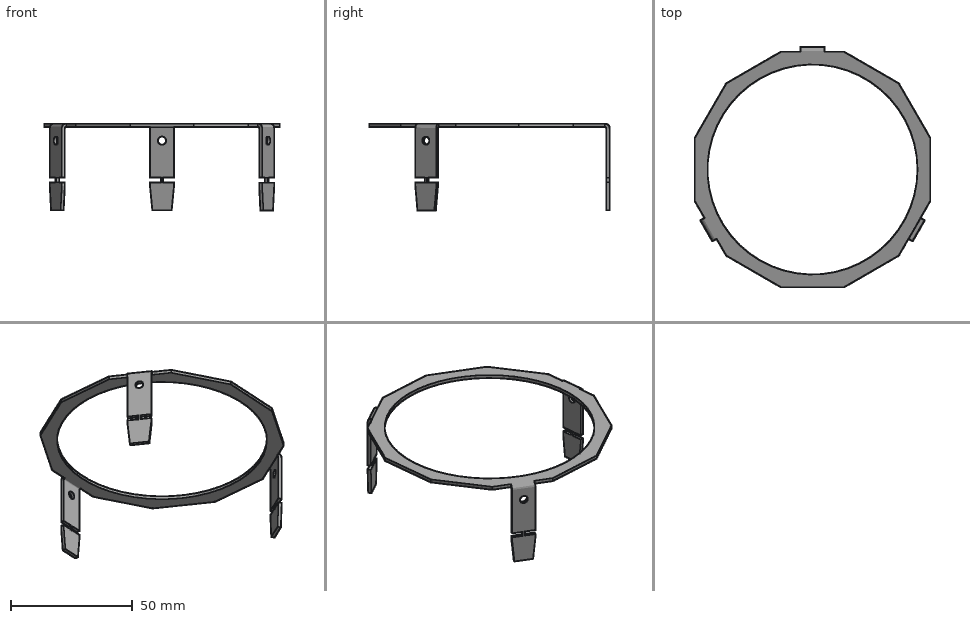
import cadquery as cq
import math

ring_sides = 12
ring_across_flats = 96.6
ring_bore_diameter = 86.0
sheet_thickness = 1.5

leg_width = 10.0
bend_outer_radius = 2.0
leg_hole_diameter = 3.3
leg_hole_depth = 7.0

neck_width = 1.0
neck_top_depth = 22.2
tab_top_depth = 24.1
taper_start_depth = 25.6
tab_bottom_depth = 35.6
tab_bottom_width = 8.0

separate_tab_drop = 0.1

fixed_leg_angles = [0, 120]
separate_leg_angle = -120

flat_distance = ring_across_flats / 2
leg_outer_y = flat_distance + bend_outer_radius
leg_inner_y = leg_outer_y - sheet_thickness
bend_inner_radius = bend_outer_radius - sheet_thickness


def make_ring():
    corner_diameter = ring_across_flats / math.cos(math.pi / ring_sides)
    half_side_angle = 180 / ring_sides
    outline = (
        cq.Workplane("XY")
        .polygon(ring_sides, corner_diameter)
        .extrude(-sheet_thickness)
        .rotate((0, 0, 0), (0, 0, 1), half_side_angle)
    )
    bore = cq.Workplane("XY").circle(ring_bore_diameter / 2).extrude(-sheet_thickness)
    return outline.cut(bore)


def make_bent_strip(bottom_depth):
    """Full-width strip with its quarter-round bend, starting at the +Y flat of the ring."""
    return (
        cq.Workplane("YZ")
        .moveTo(flat_distance, 0)
        .radiusArc((leg_outer_y, -bend_outer_radius), bend_outer_radius)
        .lineTo(leg_outer_y, -bottom_depth)
        .lineTo(leg_inner_y, -bottom_depth)
        .lineTo(leg_inner_y, -bend_outer_radius)
        .radiusArc((flat_distance, -sheet_thickness), -bend_inner_radius)
        .close()
        .extrude(leg_width / 2, both=True)
    )


def make_leg_outline(tab_drop):
    """Block with the leg's face outline: wide strip, thin neck and tapered tab."""
    right_side = [
        (leg_width / 2, 0),
        (leg_width / 2, -neck_top_depth),
        (neck_width / 2, -neck_top_depth),
        (neck_width / 2, -tab_top_depth - tab_drop),
        (leg_width / 2, -tab_top_depth - tab_drop),
        (leg_width / 2, -taper_start_depth - tab_drop),
        (tab_bottom_width / 2, -tab_bottom_depth - tab_drop),
    ]
    left_side = [(-x, z) for x, z in reversed(right_side)]
    return cq.Workplane("XZ").polyline(right_side + left_side).close().extrude(-leg_outer_y)


def make_leg(angle, tab_drop=0.0):
    """One leg, built at the +Y flat and turned about Z to its own flat."""
    hole = (
        cq.Workplane("XZ")
        .center(0, -leg_hole_depth)
        .circle(leg_hole_diameter / 2)
        .extrude(-leg_outer_y)
    )
    strip = make_bent_strip(tab_bottom_depth + tab_drop)
    leg = strip.intersect(make_leg_outline(tab_drop)).cut(hole)
    return leg.rotate((0, 0, 0), (0, 0, 1), angle)


frame = make_ring()
for leg_angle in fixed_leg_angles:
    frame = frame.union(make_leg(leg_angle))

separate_leg = make_leg(separate_leg_angle, separate_tab_drop)

result = cq.Compound.makeCompound([frame.solids().val(), separate_leg.solids().val()])